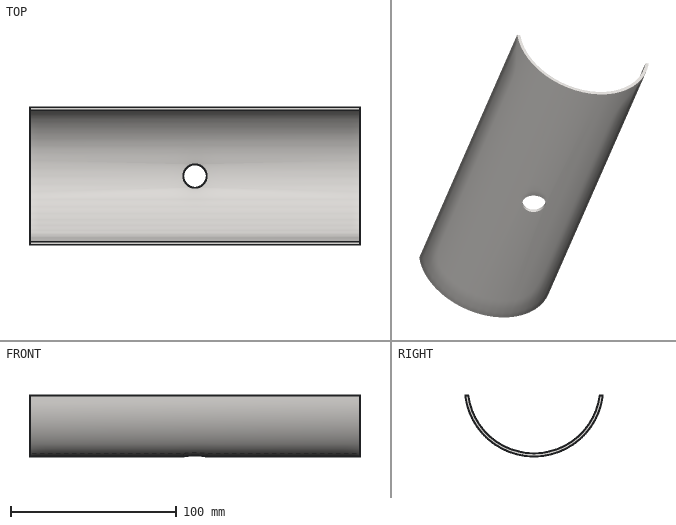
import cadquery as cq

LENGTH = 200.0
OUTER_RADIUS = 42.0
WALL = 2.0
RIM_DROP = 5.0
DRAIN_DIAMETER = 14.0

INNER_RADIUS = OUTER_RADIUS - WALL
HEIGHT = OUTER_RADIUS - RIM_DROP


def make_trough():
    """Tube along X, kept only below the level of the rims."""
    tube = (
        cq.Workplane("YZ")
        .circle(OUTER_RADIUS)
        .circle(INNER_RADIUS)
        .extrude(LENGTH / 2, both=True)
    )
    lower_part = (
        cq.Workplane("XY")
        .workplane(offset=-OUTER_RADIUS)
        .rect(LENGTH, 2 * OUTER_RADIUS)
        .extrude(HEIGHT)
    )
    return tube.intersect(lower_part)


def make_drain_cutter():
    """Vertical cylinder through the lowest line of the wall, at mid-length."""
    return (
        cq.Workplane("XY")
        .workplane(offset=-OUTER_RADIUS)
        .circle(DRAIN_DIAMETER / 2)
        .extrude(HEIGHT)
    )


result = make_trough().cut(make_drain_cutter())